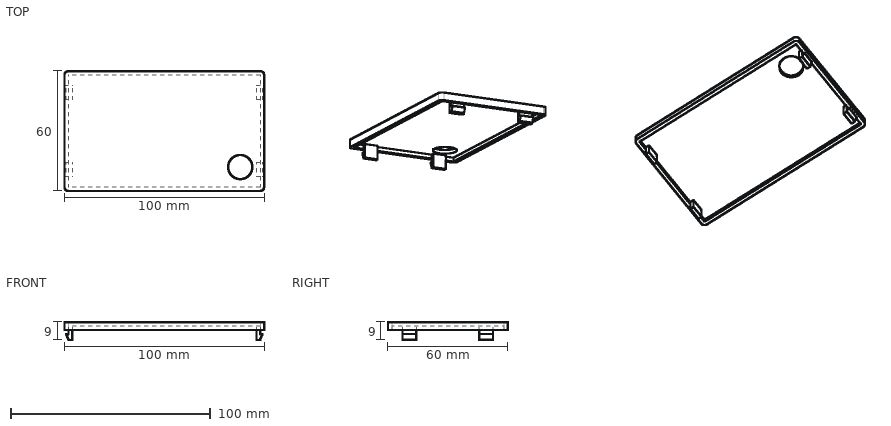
import cadquery as cq

length = 100.0
width = 60.0
height = 4.0
skin_thickness = 2.0
wall_thickness = 2.0
corner_radius = 2.0
pocket_depth = height - skin_thickness

hole_diameter = 12.0
hole_edge_distance = 12.0

clip_drop = 5.0
clip_thickness = 2.0
clip_width = 7.0
clip_spacing = 38.4
barb_reach = 1.2
barb_top_drop = 2.0
barb_height = 2.6


def make_plate():
    """Round-cornered plate with an open pocket below and a finger hole."""
    plate = cq.Workplane("XY").box(length, width, height, centered=(True, True, False))
    plate = plate.edges("|Z").fillet(corner_radius)
    pocket = cq.Workplane("XY").box(
        length - 2 * wall_thickness,
        width - 2 * wall_thickness,
        pocket_depth,
        centered=(True, True, False),
    )
    hole = (
        cq.Workplane("XY")
        .center(length / 2 - hole_edge_distance, hole_edge_distance - width / 2)
        .circle(hole_diameter / 2)
        .extrude(height)
    )
    return plate.cut(pocket).cut(hole)


def make_clip(side, center_y):
    """Leg with an outward barb; side is -1 for the -X wall and +1 for the +X wall."""
    outer = length / 2 - wall_thickness
    inner = outer - clip_thickness
    profile = [
        (inner, pocket_depth),
        (outer, pocket_depth),
        (outer, -barb_top_drop),
        (outer + barb_reach, -barb_top_drop),
        (outer, -barb_top_drop - barb_height),
        (outer, -clip_drop),
        (inner, -clip_drop),
    ]
    return (
        cq.Workplane("XZ", origin=(0, center_y + clip_width / 2, 0))
        .polyline([(side * x, z) for x, z in profile])
        .close()
        .extrude(clip_width)
    )


result = make_plate()
for side in (-1, 1):
    for row in (-1, 1):
        result = result.union(make_clip(side, row * clip_spacing / 2))